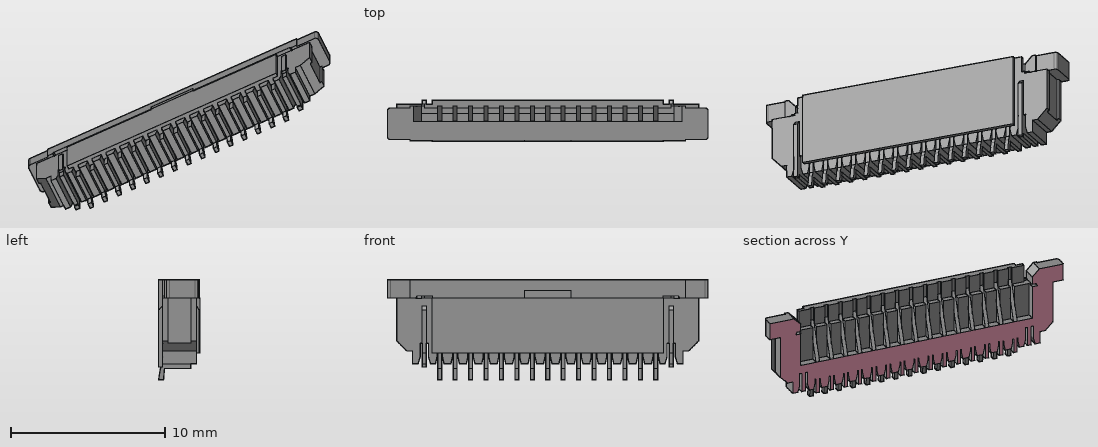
import cadquery as cq


depth = 2.7
body_front = 0.23
body_back = 2.43

bar_half_length = 10.4
bar_height = 1.2
bar_end_front = 0.13
bar_end_back = 2.19
bar_middle_front = 0.05
bar_middle_back = 2.31
bar_middle_half_length = 8.93
bar_corner_radius = 0.2

body_half_length = 9.8
body_corner_cut = 0.67
shoulder_z = -4.63
foot_half_length = 8.77
foot_z = -5.46
end_recess_front = 0.6
end_recess_back = 2.07
end_recess_depth = 0.13

plate_half_length = 7.5
plate_bottom_z = -4.76

opening_front = 1.31
opening_half_length = 8.69
lead_in = 0.5
slot_half_length = opening_half_length - lead_in
slot_depth = 3.5
tongue_half_length = 7.98
tongue_front = 2.18
slot_back = 1.82
groove_back = 2.31

notch_height = 0.14
notch_inner = 7.48
notch_outer = 8.55
notch_slant = 0.09
window_half_length = 1.5
window_height = 0.51
window_back = 0.35

contact_count = 15
contact_pitch = 1.0
contact_width = 0.26
contact_tip_front = 1.35
contact_tip_z = -0.9
contact_front = 0.6
contact_bottom_z = -5.77
contact_tail_z = -6.5
tail_thickness = 0.34
tail_slant = 0.12
tail_bend = 0.06
comb_gap_top_width = 0.34
comb_gap_bottom_width = 0.55
comb_taper_z = -5.0

tab_x = 8.0
tab_width = 0.28
tab_front = 0.07
tab_top_z = -1.7
tab_slope_z = -1.97
tab_front_bottom_z = -4.75
tab_bottom_z = -5.66
tab_slot_width = 0.52
tab_slot_mouth_width = 0.8
tab_slot_top_z = -4.12

contact_positions = [(i - (contact_count - 1) / 2) * contact_pitch for i in range(contact_count)]


def box(x_range, y_range, z_range):
    """Box between two limits along each axis."""
    size = [limits[1] - limits[0] for limits in (x_range, y_range, z_range)]
    corner = (x_range[0], y_range[0], z_range[0])
    return cq.Workplane("XY").box(*size, centered=False).translate(corner)


def centered_box(half_length, y_range, z_range):
    """Box symmetric about X = 0."""
    return box((-half_length, half_length), y_range, z_range)


def extrude_along_y(points, y_range):
    """Outline of (x, z) points extruded between two Y limits."""
    outline = cq.Workplane("XZ", origin=(0, y_range[0], 0)).polyline(points).close()
    return outline.extrude(y_range[0] - y_range[1])


def extrude_along_x(points, center_x, width):
    """Outline of (y, z) points extruded along X about center_x."""
    outline = cq.Workplane("YZ", origin=(center_x, 0, 0)).polyline(points).close()
    return outline.extrude(width / 2, both=True)


def make_bar():
    ends = centered_box(bar_half_length, (bar_end_front, bar_end_back), (-bar_height, 0))
    ends = ends.edges("|Z").fillet(bar_corner_radius)
    middle = centered_box(bar_middle_half_length, (bar_middle_front, bar_middle_back), (-bar_height, 0))
    opening_outline = [
        (-opening_half_length, 0),
        (opening_half_length, 0),
        (slot_half_length, -lead_in),
        (slot_half_length, -bar_height),
        (-slot_half_length, -bar_height),
        (-slot_half_length, -lead_in),
    ]
    opening = extrude_along_y(opening_outline, (opening_front, depth))
    window_limits_z = (-bar_height, window_height - bar_height)
    window = centered_box(window_half_length, (0, window_back), window_limits_z)
    bar = ends.union(middle).cut(opening).cut(window)
    for side in (-1, 1):
        notch_outline = [
            (side * notch_inner, -bar_height),
            (side * notch_inner, notch_height - bar_height),
            (side * (notch_outer - notch_slant), notch_height - bar_height),
            (side * notch_outer, -bar_height),
        ]
        bar = bar.cut(extrude_along_y(notch_outline, (0, depth)))
    return bar


def make_body():
    half_outline = [
        (body_half_length, -bar_height),
        (body_half_length, shoulder_z + body_corner_cut),
        (body_half_length - body_corner_cut, shoulder_z),
        (foot_half_length, shoulder_z),
        (foot_half_length, foot_z),
    ]
    mirrored = [(-x, z) for x, z in reversed(half_outline)]
    body = extrude_along_y(half_outline + mirrored, (body_front, body_back))
    for side in (-1, 1):
        recess_limits = sorted((side * body_half_length, side * (body_half_length - end_recess_depth)))
        recess = box(recess_limits, (end_recess_front, end_recess_back), (shoulder_z, -bar_height))
        body = body.cut(recess)
    plates = centered_box(plate_half_length, (0, body_back), (plate_bottom_z, -bar_height))
    back_plate = centered_box(plate_half_length, (body_back, depth), (plate_bottom_z, 0))
    return body.union(plates).union(back_plate)


def make_cable_slot():
    return centered_box(slot_half_length, (opening_front, slot_back), (-slot_depth, 0))


def make_tongue():
    tongue = centered_box(tongue_half_length, (tongue_front, body_back), (-bar_height, 0))
    root_top_z = notch_height - bar_height
    root = centered_box(slot_half_length, (groove_back, body_back), (-bar_height, root_top_z))
    return tongue.union(root)


def comb_gap(center_x, top_width, mouth_width, top_z):
    """Gap in the lower edge of the body that widens towards its mouth."""
    outline = [
        (center_x - top_width / 2, top_z),
        (center_x + top_width / 2, top_z),
        (center_x + top_width / 2, comb_taper_z),
        (center_x + mouth_width / 2, foot_z),
        (center_x - mouth_width / 2, foot_z),
        (center_x - top_width / 2, comb_taper_z),
    ]
    return extrude_along_y(outline, (body_front, body_back))


def contact_groove(center_x):
    limits = (center_x - contact_width / 2, center_x + contact_width / 2)
    return box(limits, (slot_back, groove_back), (-slot_depth, 0))


def contact_blade(center_x):
    """Sloped contact face at the back of the cable slot."""
    outline = [
        (groove_back, contact_tip_z),
        (groove_back, -slot_depth),
        (contact_tip_front, -slot_depth),
    ]
    return extrude_along_x(outline, center_x, contact_width)


def contact_tail(center_x):
    outline = [
        (contact_front, plate_bottom_z),
        (body_back, plate_bottom_z),
        (body_back, foot_z),
        (depth - tail_slant, contact_bottom_z),
        (depth, contact_tail_z),
        (depth - tail_thickness, contact_tail_z),
        (depth - tail_thickness - tail_bend, contact_bottom_z),
        (contact_front, contact_bottom_z),
    ]
    return extrude_along_x(outline, center_x, contact_width)


def make_tab(center_x):
    outline = [
        (body_front, tab_top_z),
        (tab_front, tab_slope_z),
        (tab_front, tab_front_bottom_z),
        (body_front, tab_front_bottom_z),
        (body_front, foot_z),
        (body_back, foot_z),
        (body_back, tab_bottom_z),
        (depth, tab_bottom_z),
        (depth, tab_slope_z),
        (body_back, tab_top_z),
    ]
    return extrude_along_x(outline, center_x, tab_width)


result = make_body().union(make_bar()).union(make_tongue())
for x in (-tab_x, tab_x):
    result = result.cut(comb_gap(x, tab_slot_width, tab_slot_mouth_width, tab_slot_top_z))
    result = result.union(make_tab(x))
result = result.cut(make_cable_slot())
for x in contact_positions:
    result = result.cut(comb_gap(x, comb_gap_top_width, comb_gap_bottom_width, plate_bottom_z))
    result = result.cut(contact_groove(x))
    result = result.union(contact_blade(x)).union(contact_tail(x))